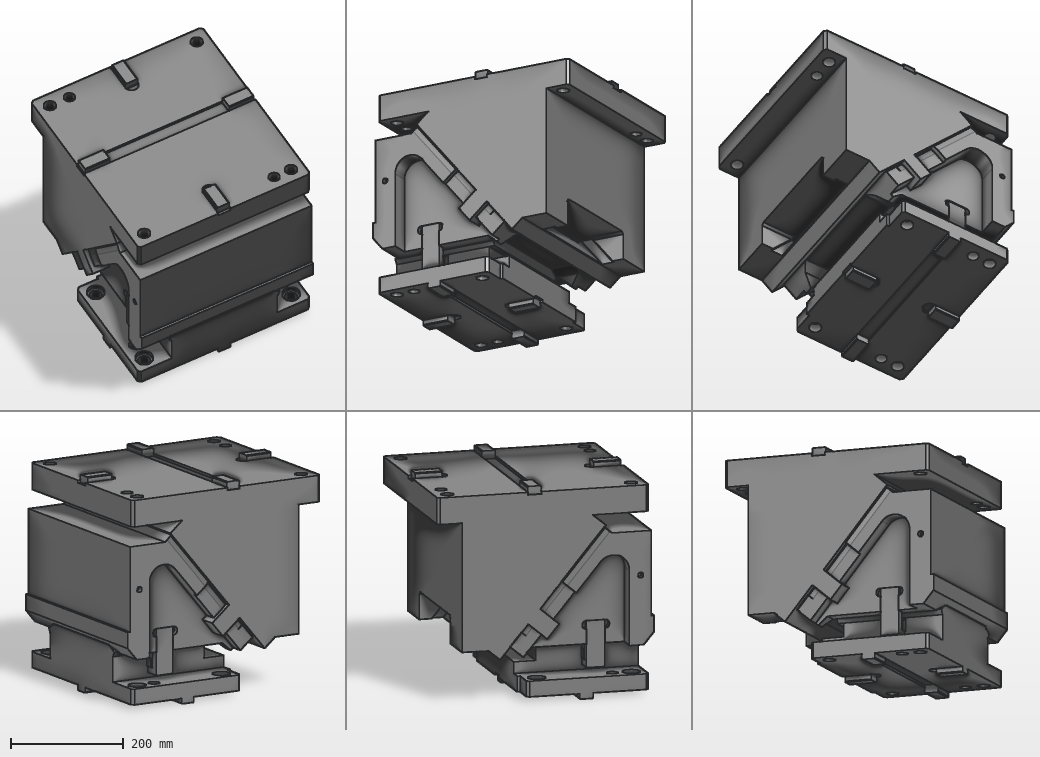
import cadquery as cq
import math

WIDTH = 350.0
HALF_WIDTH = WIDTH / 2
TOTAL_HEIGHT = 393.0
PLATE_RIGHT = 390.0
CORNER_CHAMFER = 5.0
MARGIN = 20.0

KEY_WIDTH = 25.0
KEY_LENGTH = 50.0
KEY_PROJECTION = 10.0
KEY_SLOT_DEPTH = 5.0
KEY_CHAMFER = 1.5
KEY_HEIGHT = KEY_PROJECTION + KEY_SLOT_DEPTH
END_SLOT_LENGTH = 67.5

BOLT_HOLE = 22.5
BOLT_HEAD = 32.0
BOLT_HEAD_DEPTH = 8.0
DOWEL_HOLE = 20.5
HOLE_INSET = 25.0
HOLE_Y = HALF_WIDTH - HOLE_INSET

INCLINE_ANGLE = math.radians(50)
INCLINE_COS = math.cos(INCLINE_ANGLE)
INCLINE_SIN = math.sin(INCLINE_ANGLE)
TOE_X = 115.5
TOE_Z = 81.0

HOLDER_TOP = TOTAL_HEIGHT - KEY_PROJECTION
HOLDER_PLATE_BOTTOM = 334.5
HOLDER_LEFT = 45.0
HOLDER_BOTTOM = 99.0
HOLDER_SLOPE_LENGTH = 304.5
CROSS_SLOT_X = 179.5
HOLDER_END_KEY_INSET = 5.0
HOLDER_SIDE_KEY_INSET = 3.0
HOLDER_DOWEL_Y_LEFT = -110.0
HOLDER_DOWEL_Y_RIGHT = 115.0

LUG_START = 81.0
LUG_END = 115.0
LUG_DEPTH = 45.5

WINDOW_WIDTH = 199.0
WINDOW_TOP = 150.0
WINDOW_FLOOR = -30.5
WINDOW_CHAMFER = 5.0
WIDE_WINDOW_WIDTH = 210.0
WIDE_WINDOW_EDGE = -48.0
WINDOW_LEDGE_WIDTH = 192.0
WINDOW_LEDGE_BOTTOM = 146.5
WINDOW_LEDGE_DEPTH = 2.5
WINDOW_POCKET_WIDTH = 148.0
WINDOW_POCKET_BOTTOM = 135.0
WINDOW_POCKET_DEPTH = 5.0

SLIDER_START = 29.0
SLIDER_END = 300.0
SLIDER_TIP_DEPTH = 41.0
SLIDER_TOP = 299.0
SLIDER_FACE = 395.0
SLIDER_BOTTOM = 92.0
SLIDER_HEEL_X = 183.5
NOSE_FACE = 400.0
NOSE_TOP = 144.0
NOSE_BOTTOM = 115.0

BEVEL_START = 62.0
BEVEL_LIP = 2.0
BEVEL_LIP_ANGLE = math.radians(60)
BEVEL_DEPTH = 12.5
BEVEL_TILT = math.radians(8.5)

RECESS_DEPTH = 35.0
RECESS_END = 177.0
RECESS_HALF_WIDTH = 166.5
POCKET_HALF_WIDTH = 141.5
POCKET_RIGHT = 354.5
POCKET_RADIUS = 30.0

HOOK_LEFT = 285.0
HOOK_RIGHT = 319.0
HOOK_HALF_WIDTH = 140.0
HOOK_LEG_INNER = 125.5
HOOK_TOE_INNER = 110.5
HOOK_BOTTOM = 49.0
HOOK_TOE_TOP = 60.0
HOOK_TOP = 134.5
HOOK_SLOT_LENGTH = 50.5
HOOK_SLOT_HEIGHT = 15.0
HOOK_SLOT_DEPTH = 10.0

SIDE_HOLE_X = 375.0
SIDE_HOLE_Z = 219.0
SIDE_HOLE_DIAMETER = 10.0
SIDE_HOLE_DEPTH = 12.0

DRIVER_LEFT = 160.0
DRIVER_FLANGE_STEP = 5.0
DRIVER_CENTRE_WIDTH = 260.0
DRIVER_BOTTOM = KEY_PROJECTION
DRIVER_PLATE_TOP = 39.0
NECK_HALF_WIDTH = 107.5
NECK_LOW_TOP = HOOK_TOE_TOP
NECK_STEP_X = 201.0
DRIVER_MIDDLE = (DRIVER_LEFT + PLATE_RIGHT) / 2
DRIVER_DOWEL_X = 330.0
CATCH_HALF_WIDTH = 120.5
CATCH_SIDE_TOP = 76.0

RAIL_LEFT = 189.5
RAIL_BOTTOM = 85.0
RAIL_EDGE_Z = 94.0
RAIL_TOP = 105.0
RAIL_FLANK = math.radians(30)
RAIL_EDGE = NECK_HALF_WIDTH + (RAIL_EDGE_Z - RAIL_BOTTOM) * math.tan(RAIL_FLANK)
RAIL_TOP_HALF_WIDTH = RAIL_EDGE - (RAIL_TOP - RAIL_EDGE_Z) / math.tan(RAIL_FLANK)
GROOVE_MOUTH = 127.0
GROOVE_MOUTH_Z = 75.0


def on_incline(along, depth):
    """X and Z of a point given in the frame of the incline."""
    x = TOE_X + along * INCLINE_COS + depth * INCLINE_SIN
    z = TOE_Z + along * INCLINE_SIN - depth * INCLINE_COS
    return x, z


def across(points, width):
    """Prism with an XZ outline, centred on Y = 0."""
    return cq.Workplane("XZ").polyline(points).close().extrude(width / 2, both=True)


def on_both_sides(shape):
    """The shape on the -Y side together with its mirror image."""
    return shape.union(shape.mirror("XZ"))


def side_plane(half_width):
    """XZ plane at the -Y distance; extruding goes outward."""
    return cq.Workplane("XZ", origin=(0, -half_width, 0))


def block(x_range, y_range, z_range):
    size = [high - low for low, high in (x_range, y_range, z_range)]
    corner = (x_range[0], y_range[0], z_range[0])
    return cq.Workplane("XY").box(*size, centered=False).translate(corner)


def incline_block(along_range, depth_range, width):
    corners = [
        on_incline(along_range[0], depth_range[0]),
        on_incline(along_range[1], depth_range[0]),
        on_incline(along_range[1], depth_range[1]),
        on_incline(along_range[0], depth_range[1]),
    ]
    return across(corners, width)


def key(x, y, along_x):
    """Key with chamfered long top edges, standing on Z = 0 and centred on x, y."""
    shape = cq.Workplane("XY").box(KEY_LENGTH, KEY_WIDTH, KEY_HEIGHT, centered=(True, True, False))
    shape = shape.edges("|X and >Z").chamfer(KEY_CHAMFER)
    if not along_x:
        shape = shape.rotate((0, 0, 0), (0, 0, 1), 90)
    return shape.translate((x, y, 0))


def end_slot(edge_x, inward):
    """Slot from a plate edge to a rounded end, standing on Z = 0; inward is +1 or -1."""
    slot = cq.Workplane("XY").slot2D(2 * END_SLOT_LENGTH, KEY_WIDTH).extrude(KEY_SLOT_DEPTH)
    reach = block((0, END_SLOT_LENGTH), (-KEY_WIDTH, KEY_WIDTH), (0, KEY_SLOT_DEPTH))
    slot = slot.intersect(reach if inward > 0 else reach.mirror("YZ"))
    return slot.translate((edge_x, 0, 0))


def key_slots(left, cross_x):
    """All slots of a mounting face, with their floor on Z = 0."""
    half = KEY_WIDTH / 2
    cross = block((cross_x - half, cross_x + half), (-HALF_WIDTH, HALF_WIDTH), (0, KEY_SLOT_DEPTH))
    return cross.union(end_slot(left, 1)).union(end_slot(PLATE_RIGHT, -1))


def key_set(first_x, last_x, cross_x, side_inset):
    """Four keys; first_x and last_x are the outer ends of the two end keys."""
    side_y = HALF_WIDTH - side_inset - KEY_LENGTH / 2
    keys = key(first_x + KEY_LENGTH / 2, 0, True)
    keys = keys.union(key(last_x - KEY_LENGTH / 2, 0, True))
    for y in (-side_y, side_y):
        keys = keys.union(key(cross_x, y, False))
    return keys


def drills(points, diameter):
    return cq.Workplane("XY").pushPoints(points).circle(diameter / 2).extrude(TOTAL_HEIGHT)


def window_cut(width, bottom, depth_range):
    """Part of the window, between two depths on the incline, from a height up to its top."""
    along_range = (-HOLDER_BOTTOM, HOLDER_SLOPE_LENGTH)
    heights = block((0, PLATE_RIGHT), (-width / 2, width / 2), (bottom, WINDOW_TOP))
    return heights.intersect(incline_block(along_range, depth_range, width))


def window():
    """Opening in the holder's wall with a stepped floor parallel to the incline."""
    outer = block((0, PLATE_RIGHT), (-WINDOW_WIDTH / 2, WINDOW_WIDTH / 2), (0, WINDOW_TOP))
    outer = outer.edges("|X and >Z").chamfer(WINDOW_CHAMFER)
    along_range = (-HOLDER_BOTTOM, HOLDER_SLOPE_LENGTH)
    outer = outer.intersect(incline_block(along_range, (-HOLDER_TOP, WINDOW_FLOOR), WINDOW_WIDTH))

    wide = window_cut(WIDE_WINDOW_WIDTH, 0, (WIDE_WINDOW_EDGE, WINDOW_FLOOR))
    ledge_range = (WINDOW_FLOOR, WINDOW_FLOOR + WINDOW_LEDGE_DEPTH)
    ledge = window_cut(WINDOW_LEDGE_WIDTH, WINDOW_LEDGE_BOTTOM, ledge_range)
    pocket_range = (WINDOW_FLOOR, WINDOW_FLOOR + WINDOW_POCKET_DEPTH)
    pocket = window_cut(WINDOW_POCKET_WIDTH, WINDOW_POCKET_BOTTOM, pocket_range)
    return outer.union(wide).union(ledge).union(pocket)


def make_holder():
    plate = block((0, PLATE_RIGHT), (-HALF_WIDTH, HALF_WIDTH), (HOLDER_PLATE_BOTTOM, HOLDER_TOP))
    plate = plate.edges("|Z").chamfer(CORNER_CHAMFER)

    toe_rise = (HOLDER_BOTTOM - TOE_Z) / INCLINE_COS
    crest_rise = (HOLDER_PLATE_BOTTOM - on_incline(HOLDER_SLOPE_LENGTH, 0)[1]) / INCLINE_COS
    outline = [
        (HOLDER_LEFT, HOLDER_PLATE_BOTTOM),
        (HOLDER_LEFT, HOLDER_BOTTOM),
        on_incline(0, -toe_rise),
        on_incline(0, 0),
        on_incline(LUG_START, 0),
        on_incline(LUG_START, LUG_DEPTH),
        on_incline(LUG_END, LUG_DEPTH),
        on_incline(LUG_END, 0),
        on_incline(HOLDER_SLOPE_LENGTH, 0),
        on_incline(HOLDER_SLOPE_LENGTH, -crest_rise),
    ]
    body = plate.union(across(outline, WIDTH)).cut(window())

    right_x = PLATE_RIGHT - HOLE_INSET
    corners = [(x, y) for x in (HOLE_INSET, right_x) for y in (-HOLE_Y, HOLE_Y)]
    dowels = [(HOLE_INSET, HOLDER_DOWEL_Y_LEFT), (right_x, HOLDER_DOWEL_Y_RIGHT)]
    lift = (0, 0, HOLDER_PLATE_BOTTOM)
    holes = drills(corners, BOLT_HOLE).union(drills(dowels, DOWEL_HOLE))
    body = body.cut(holes.translate(lift))

    slot_floor = (0, 0, HOLDER_TOP - KEY_SLOT_DEPTH)
    keys = key_set(
        HOLDER_END_KEY_INSET, PLATE_RIGHT - HOLDER_END_KEY_INSET, CROSS_SLOT_X, HOLDER_SIDE_KEY_INSET
    )
    body = body.cut(key_slots(0, CROSS_SLOT_X).translate(slot_floor))
    return body.union(keys.translate(slot_floor))


def incline_prism(outline, start, end):
    """Prism along the incline; the outline gives depth and Y."""
    x, z = on_incline(start, 0)
    section = cq.Plane(
        origin=(x, 0, z),
        xDir=(INCLINE_SIN, 0, -INCLINE_COS),
        normal=(INCLINE_COS, 0, INCLINE_SIN),
    )
    return cq.Workplane(section).polyline(outline).close().extrude(end - start)


def lip_bevel(face, start, end):
    """Cutter for a steep bevel right at the sliding face, next to the -Y side."""
    inner = face - BEVEL_LIP / math.tan(BEVEL_LIP_ANGLE)
    outer = HALF_WIDTH + MARGIN
    outline = [(0, -inner), (BEVEL_LIP, -face), (BEVEL_LIP, -outer), (0, -outer)]
    return incline_prism(outline, start, end)


def strip_bevel(face, start, end):
    """Cutter for the steep bevel followed by a slightly tilted strip."""
    strip_inner = face - (BEVEL_DEPTH - BEVEL_LIP) * math.tan(BEVEL_TILT)
    outer = HALF_WIDTH + MARGIN
    outline = [(BEVEL_LIP, -strip_inner), (BEVEL_DEPTH, -face), (BEVEL_DEPTH, -outer), (BEVEL_LIP, -outer)]
    return incline_prism(outline, start, end).union(lip_bevel(strip_inner, start, end))


def side_pocket():
    """Deep pocket in the -Y side, bounded by the incline, an arc and an upright wall."""
    centre_x = POCKET_RIGHT - POCKET_RADIUS
    centre_depth = RECESS_DEPTH + POCKET_RADIUS
    centre_along = (centre_x - TOE_X - centre_depth * INCLINE_SIN) / INCLINE_COS
    centre_z = on_incline(centre_along, centre_depth)[1]
    return (
        side_plane(POCKET_HALF_WIDTH)
        .moveTo(*on_incline(0, RECESS_DEPTH))
        .lineTo(*on_incline(centre_along, RECESS_DEPTH))
        .threePointArc((centre_x, centre_z + POCKET_RADIUS), (POCKET_RIGHT, centre_z))
        .lineTo(POCKET_RIGHT, 0)
        .lineTo(on_incline(0, RECESS_DEPTH)[0], 0)
        .close()
        .extrude(HALF_WIDTH)
    )


def side_hole():
    """Blind hole with a conical bottom in the -Y side."""
    radius = SIDE_HOLE_DIAMETER / 2
    outline = [(0, 0), (radius, 0), (radius, SIDE_HOLE_DEPTH), (0, SIDE_HOLE_DEPTH + radius)]
    hole = cq.Workplane("XY").polyline(outline).close().revolve(360, (0, 0), (0, 1))
    return hole.translate((SIDE_HOLE_X, -HALF_WIDTH, SIDE_HOLE_Z))


def symmetric_prism(half_outline, x_range):
    """Prism along X; its YZ outline is completed by mirroring about Y = 0."""
    outline = half_outline + [(-y, z) for y, z in reversed(half_outline)]
    section = cq.Workplane("YZ", origin=(x_range[0], 0, 0)).polyline(outline).close()
    return section.extrude(x_range[1] - x_range[0])


def rail_groove():
    """Groove that fits the driver's rail and widens downward below the rail edge."""
    half_outline = [
        (GROOVE_MOUTH, GROOVE_MOUTH_Z),
        (RAIL_EDGE, RAIL_EDGE_Z),
        (RAIL_TOP_HALF_WIDTH, RAIL_TOP),
    ]
    return symmetric_prism(half_outline, (0, NOSE_FACE))


def hook():
    """Hook under the -Y side of the slider, which grips the driver's catch."""
    x_range = (HOOK_LEFT, HOOK_RIGHT)
    leg = block(x_range, (-HOOK_HALF_WIDTH, -HOOK_LEG_INNER), (HOOK_BOTTOM, HOOK_TOP))
    toe = block(x_range, (-HOOK_HALF_WIDTH, -HOOK_TOE_INNER), (HOOK_BOTTOM, HOOK_TOE_TOP))
    return leg.union(toe)


def hook_seat():
    """Recess in the pocket floor around the upper end of the hook."""
    slot_z = HOOK_TOP - HOOK_SLOT_HEIGHT / 2
    slot_x = (HOOK_LEFT + HOOK_RIGHT) / 2
    slot = (
        side_plane(POCKET_HALF_WIDTH - HOOK_SLOT_DEPTH)
        .center(slot_x, slot_z)
        .slot2D(HOOK_SLOT_LENGTH, HOOK_SLOT_HEIGHT)
        .extrude(HOOK_SLOT_DEPTH)
    )
    y_range = (-POCKET_HALF_WIDTH, -HOOK_HALF_WIDTH)
    return slot.union(block((HOOK_LEFT, HOOK_RIGHT), y_range, (0, HOOK_TOP)))


def make_slider():
    end_depth = (on_incline(SLIDER_END, 0)[1] - SLIDER_TOP) / INCLINE_COS
    nose_run = (NOSE_BOTTOM - SLIDER_BOTTOM) / math.tan(INCLINE_ANGLE)
    outline = [
        on_incline(SLIDER_START, 0),
        on_incline(SLIDER_END, 0),
        on_incline(SLIDER_END, end_depth),
        (SLIDER_FACE, SLIDER_TOP),
        (SLIDER_FACE, NOSE_TOP),
        (NOSE_FACE, NOSE_TOP),
        (NOSE_FACE, NOSE_BOTTOM),
        (NOSE_FACE - nose_run, SLIDER_BOTTOM),
        (SLIDER_HEEL_X, SLIDER_BOTTOM),
        on_incline(SLIDER_START, SLIDER_TIP_DEPTH),
    ]
    body = across(outline, WIDTH)
    body = body.cut(incline_block((LUG_START, LUG_END), (-MARGIN, LUG_DEPTH), WIDTH))

    recess_outline = [
        on_incline(0, -MARGIN),
        on_incline(RECESS_END, -MARGIN),
        on_incline(RECESS_END, RECESS_DEPTH),
        on_incline(0, RECESS_DEPTH),
    ]
    recess = side_plane(RECESS_HALF_WIDTH).polyline(recess_outline).close().extrude(HALF_WIDTH)
    bevels = [
        lip_bevel(RECESS_HALF_WIDTH, SLIDER_START, BEVEL_START),
        strip_bevel(RECESS_HALF_WIDTH, BEVEL_START, RECESS_END),
        strip_bevel(HALF_WIDTH, RECESS_END, SLIDER_END),
    ]
    for cutter in (recess, *bevels, side_pocket(), side_hole(), hook_seat()):
        body = body.cut(on_both_sides(cutter))

    body = body.cut(rail_groove())
    return body.union(on_both_sides(hook()))


def rail():
    """Guide rail with undercut flanks and sloping shoulders."""
    half_outline = [
        (NECK_HALF_WIDTH, RAIL_BOTTOM),
        (RAIL_EDGE, RAIL_EDGE_Z),
        (RAIL_TOP_HALF_WIDTH, RAIL_TOP),
    ]
    return symmetric_prism(half_outline, (RAIL_LEFT, PLATE_RIGHT))


def catches():
    """Pair of catches on the neck, with tops sloping outward and down."""
    slope_rise = (CATCH_HALF_WIDTH - NECK_HALF_WIDTH) * math.tan(RAIL_FLANK)
    half_outline = [
        (CATCH_HALF_WIDTH, HOOK_TOE_TOP),
        (CATCH_HALF_WIDTH, CATCH_SIDE_TOP),
        (NECK_HALF_WIDTH, CATCH_SIDE_TOP + slope_rise),
    ]
    return symmetric_prism(half_outline, (HOOK_LEFT, HOOK_RIGHT))


def make_driver():
    flange_left = DRIVER_LEFT + DRIVER_FLANGE_STEP
    plate_z = (DRIVER_BOTTOM, DRIVER_PLATE_TOP)
    body = block((flange_left, PLATE_RIGHT), (-HALF_WIDTH, HALF_WIDTH), plate_z)
    body = body.edges("|Z").chamfer(CORNER_CHAMFER)
    centre_y = (-DRIVER_CENTRE_WIDTH / 2, DRIVER_CENTRE_WIDTH / 2)
    neck_y = (-NECK_HALF_WIDTH, NECK_HALF_WIDTH)
    body = body.union(block((DRIVER_LEFT, PLATE_RIGHT), centre_y, plate_z))
    body = body.union(block((DRIVER_LEFT, PLATE_RIGHT), neck_y, (DRIVER_BOTTOM, NECK_LOW_TOP)))
    body = body.union(block((NECK_STEP_X, PLATE_RIGHT), neck_y, (DRIVER_BOTTOM, RAIL_BOTTOM)))
    body = body.union(catches()).union(rail())

    hole_x = (flange_left + HOLE_INSET, PLATE_RIGHT - HOLE_INSET)
    corners = [(x, y) for x in hole_x for y in (-HOLE_Y, HOLE_Y)]
    dowels = [(DRIVER_DOWEL_X, y) for y in (-HOLE_Y, HOLE_Y)]
    head_floor = (0, 0, DRIVER_PLATE_TOP - BOLT_HEAD_DEPTH)
    body = body.cut(drills(corners, BOLT_HOLE)).cut(drills(dowels, DOWEL_HOLE))
    body = body.cut(drills(corners, BOLT_HEAD).translate(head_floor))

    keys = key_set(flange_left, PLATE_RIGHT, DRIVER_MIDDLE, 0)
    slots = key_slots(DRIVER_LEFT, DRIVER_MIDDLE)
    body = body.cut(slots.translate((0, 0, DRIVER_BOTTOM)))
    return body.union(keys.mirror("XY").translate((0, 0, KEY_HEIGHT)))


holder = make_holder()
slider = make_slider()
driver = make_driver()
result = cq.Compound.makeCompound([holder.solids().val(), slider.solids().val(), driver.solids().val()])